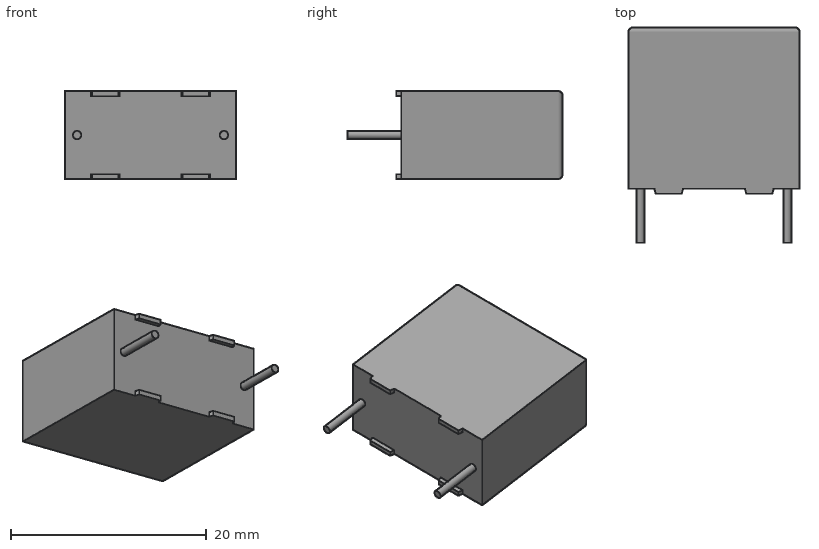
import cadquery as cq
import math


case_width = 17.5
case_length = 16.5
case_thickness = 9.01
back_edge_radius = 0.5

foot_height = 0.5
foot_thickness = 0.52
foot_base_width = 2.95
foot_spacing = 9.25
foot_flank_angle = 15.0
foot_tip_width = foot_base_width - 2 * foot_height * math.tan(math.radians(foot_flank_angle))

lead_diameter = 0.85
lead_length = 5.5
lead_pitch = 15.0


def make_foot(center_x, bottom_z):
    """Trapezoidal foot standing on the lead face, narrowing toward its tip."""
    return (
        cq.Workplane("XY")
        .workplane(offset=bottom_z)
        .moveTo(center_x - foot_base_width / 2, 0)
        .lineTo(center_x - foot_tip_width / 2, -foot_height)
        .lineTo(center_x + foot_tip_width / 2, -foot_height)
        .lineTo(center_x + foot_base_width / 2, 0)
        .close()
        .extrude(foot_thickness)
    )


def make_case():
    """Rectangular block with a rounded back face and four feet on the lead face."""
    case = (
        cq.Workplane("XY")
        .box(case_width, case_length, case_thickness, centered=(True, False, True))
        .faces(">Y")
        .edges()
        .fillet(back_edge_radius)
    )
    lower_foot_z = -case_thickness / 2
    upper_foot_z = case_thickness / 2 - foot_thickness
    for side in (-1, 1):
        for bottom_z in (lower_foot_z, upper_foot_z):
            case = case.union(make_foot(side * foot_spacing / 2, bottom_z))
    return case


def make_lead(center_x):
    """Round lead that starts at the lead face and points toward -Y."""
    return (
        cq.Workplane("XZ")
        .center(center_x, 0)
        .circle(lead_diameter / 2)
        .extrude(lead_length)
    )


case = make_case()
leads = [make_lead(side * lead_pitch / 2) for side in (-1, 1)]

result = cq.Compound.makeCompound([case.val(), *[lead.val() for lead in leads]])